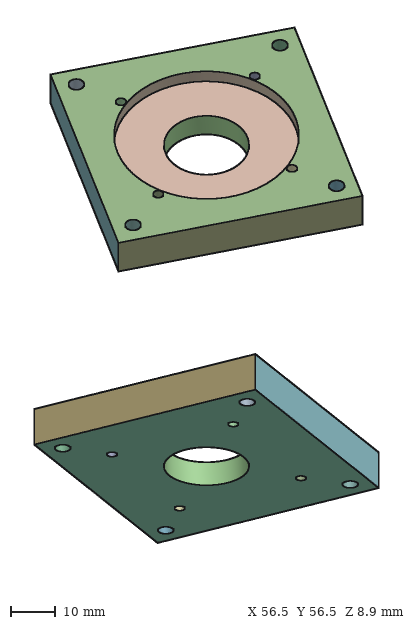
import cadquery as cq

plate_side = 56.5
plate_thickness = 8.9

bore_diameter = 19.0
recess_diameter = 41.25
recess_depth = 3.1

corner_hole_diameter = 3.5
corner_hole_spacing = 47.15
inner_hole_diameter = 2.3
inner_hole_spacing = 31.0


def square_hole_pattern(body, spacing, diameter):
    """Drill four through holes at the corners of a centred square."""
    return (
        body.faces(">Z")
        .workplane(origin=(0, 0, 0))
        .rect(spacing, spacing, forConstruction=True)
        .vertices()
        .hole(diameter)
    )


plate = cq.Workplane("XY").box(
    plate_side, plate_side, plate_thickness, centered=(True, True, False)
)

plate = plate.faces(">Z").workplane().cboreHole(bore_diameter, recess_diameter, recess_depth)

plate = square_hole_pattern(plate, corner_hole_spacing, corner_hole_diameter)
plate = square_hole_pattern(plate, inner_hole_spacing, inner_hole_diameter)

result = plate